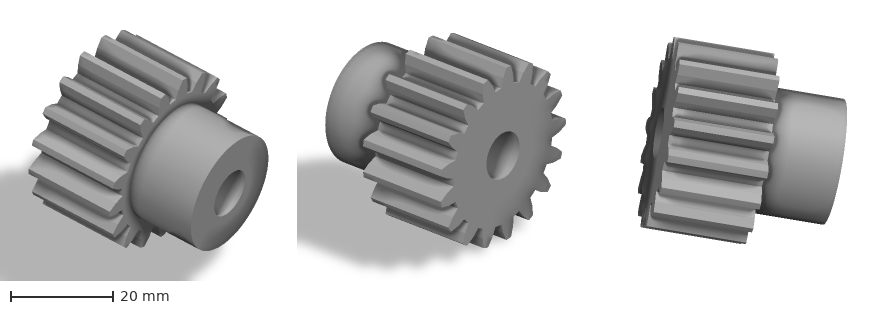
import cadquery as cq
import math

gear_height = 37.95
tooth_count = 17
gear_width = 20.0
hub_length = 15.02
hub_diameter = 25.0
bore_diameter = 10.0

tip_half_angle = math.radians(2.1)
pitch_half_angle = math.radians(5.1)
root_half_angle = math.radians(7.1)

tooth_pitch = 2 * math.pi / tooth_count
first_tooth_angle = math.pi
highest_corner_angle = round(tooth_count / 4) * tooth_pitch + tip_half_angle

tip_radius = gear_height / 2 / math.sin(highest_corner_angle)
module = 2 * tip_radius / (tooth_count + 2)
pitch_radius = tip_radius - module
root_radius = pitch_radius - module


def polar(radius, angle):
    """Point in the YZ plane, with the angle measured from +Y towards +Z."""
    return radius * math.cos(angle), radius * math.sin(angle)


def add_tooth(outline, angle):
    """Add one tooth, with two flat facets per flank, and the gap after it."""
    gap_angle = angle + tooth_pitch / 2
    next_root_angle = angle + tooth_pitch - root_half_angle
    return (
        outline
        .lineTo(*polar(pitch_radius, angle - pitch_half_angle))
        .lineTo(*polar(tip_radius, angle - tip_half_angle))
        .threePointArc(polar(tip_radius, angle), polar(tip_radius, angle + tip_half_angle))
        .lineTo(*polar(pitch_radius, angle + pitch_half_angle))
        .lineTo(*polar(root_radius, angle + root_half_angle))
        .threePointArc(polar(root_radius, gap_angle), polar(root_radius, next_root_angle))
    )


def make_gear():
    start = polar(root_radius, first_tooth_angle - root_half_angle)
    outline = cq.Workplane("YZ").moveTo(*start)
    for tooth in range(tooth_count):
        outline = add_tooth(outline, first_tooth_angle + tooth * tooth_pitch)
    return outline.close().extrude(gear_width)


def make_hub():
    return cq.Workplane("YZ", origin=(gear_width, 0, 0)).circle(hub_diameter / 2).extrude(hub_length)


def make_bore():
    """Cylinder running through both the gear and the hub."""
    return cq.Workplane("YZ").circle(bore_diameter / 2).extrude(gear_width + hub_length)


result = make_gear().union(make_hub()).cut(make_bore())